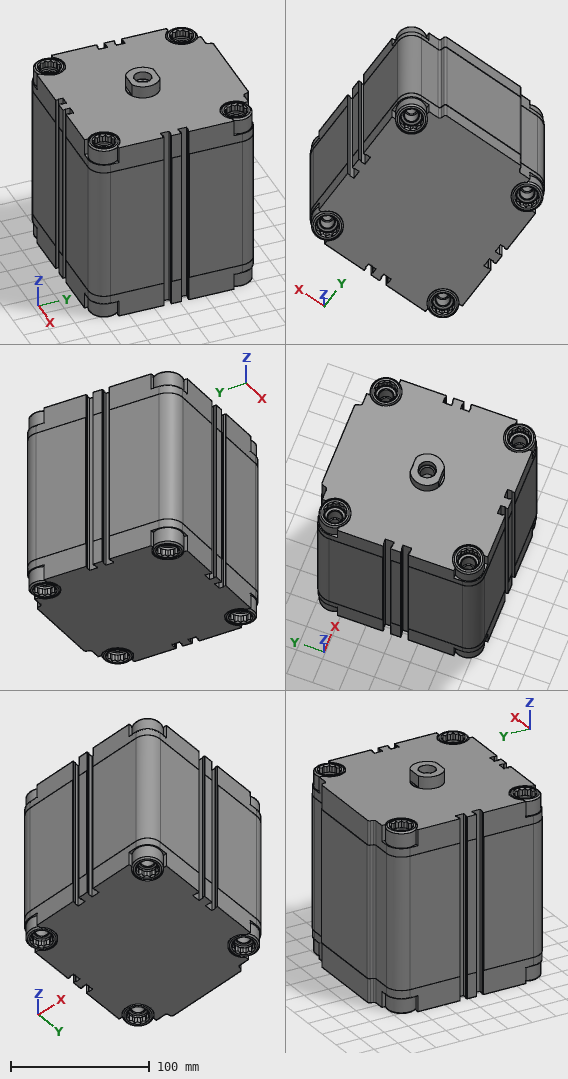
import cadquery as cq
import math

width = 128.0
total_depth = 133.0
housing_height = 146.8
cap_height = 19.5
cap_inset = 0.13
cap_pad_setback = 0.19
corner_radius = 12.5
pad_base_width = 70.7
pad_top_width = 67.9
pad_fillet = 1.9

slot_spacing = 13.6
slot_mouth_width = 5.6
slot_inner_width = 6.5
slot_lip = 2.3
slot_depth = 6.0
slot_edge_chamfer = 0.3

screw_offset = 51.5
boss_diameter = 23.0
boss_chamfer = 1.3
notch_size = 19.1
notch_depth = 12.8
socket_mouth_diameter = 17.5
socket_point_diameter = 16.5
socket_point_count = 12
socket_point_depth = 6.0
socket_floor_diameter = 15.3
socket_depth = 7.8
countersink_diameter = 11.5
clearance_diameter = 10.2
through_diameter = 8.0

rod_diameter = 25.0
rod_stickout = 9.7
rod_flat_width = 21.9
rod_collar = 0.6
rod_counterbore_diameter = 13.0
rod_counterbore_depth = 6.1
rod_countersink_diameter = 12.2
rod_bore_diameter = 10.2
rod_bore_depth = 18.8
drill_point_angle = 118.0

half_width = width / 2
barrel_pad_height = total_depth - width
cap_pad_height = barrel_pad_height - cap_pad_setback
rod_top = housing_height + rod_stickout
rod_bottom = housing_height - cap_height


def profile_block(inset, pad_height, z_bottom, height):
    """Rounded square with a padded rear side, drawn in by inset all round."""
    side = half_width - inset
    square = (
        cq.Workplane("XY")
        .workplane(offset=z_bottom)
        .rect(2 * side, 2 * side)
        .extrude(height)
        .edges("|Z")
        .fillet(corner_radius - inset)
    )
    base_x = pad_base_width / 2 - inset
    top_x = pad_top_width / 2 - inset
    pad_y = side + pad_height
    pad = (
        cq.Workplane("XY")
        .workplane(offset=z_bottom)
        .polyline([(-base_x, 0), (base_x, 0), (base_x, side), (top_x, pad_y), (-top_x, pad_y), (-base_x, side)])
        .close()
        .extrude(height)
    )
    foot_and_rim = cq.selectors.BoxSelector(
        (-base_x - pad_fillet, side - pad_fillet, z_bottom),
        (base_x + pad_fillet, pad_y + pad_fillet, z_bottom + height),
    )
    return square.union(pad).edges("|Z").edges(foot_and_rim).fillet(pad_fillet)


def slot_pair():
    """Two T-slots with bevelled mouths that run the full height of the front side."""
    slots = cq.Workplane("XY")
    edge_half_width = slot_mouth_width / 2 + slot_edge_chamfer
    for x in (-slot_spacing / 2, slot_spacing / 2):
        edge_bevel = (
            cq.Workplane("XY")
            .polyline([(-edge_half_width, 0), (edge_half_width, 0), (0, edge_half_width)])
            .close()
            .extrude(housing_height)
        )
        slots = slots.union(edge_bevel.translate((x, -half_width, 0)))
        mouth = cq.Workplane("XY").box(slot_mouth_width, slot_depth, housing_height, centered=(True, False, False))
        inner = cq.Workplane("XY").box(
            slot_inner_width, slot_depth - slot_lip, housing_height, centered=(True, False, False)
        )
        slots = slots.union(mouth.translate((x, -half_width, 0)))
        slots = slots.union(inner.translate((x, -half_width + slot_lip, 0)))
    return slots


def corner_notch():
    """Material removed around one screw boss, in the +X +Y corner at the top end."""
    boss_radius = boss_diameter / 2
    notch_centre = half_width - notch_size / 2
    notch = cq.Workplane("XY").box(notch_size, notch_size, notch_depth, centered=(True, True, False))
    notch = notch.translate((notch_centre, notch_centre, housing_height - notch_depth))
    boss = cq.Workplane("XY").circle(boss_radius).extrude(notch_depth)
    boss = boss.translate((screw_offset, screw_offset, housing_height - notch_depth))
    groove = (
        cq.Workplane("XZ")
        .polyline([(boss_radius - boss_chamfer, 0), (boss_radius, 0), (boss_radius, -boss_chamfer)])
        .close()
        .revolve(360, (0, 0, 0), (0, 1, 0))
        .translate((screw_offset, screw_offset, housing_height))
    )
    return notch.cut(boss).union(groove)


def twelve_point_prism(depth):
    """Two hexagons turned by half a step, extruded down from z = 0."""
    hexagon = cq.Workplane("XY").polygon(socket_point_count // 2, socket_point_diameter).extrude(-depth)
    return hexagon.union(hexagon.rotate((0, 0, 0), (0, 0, 1), 360 / socket_point_count))


def screw_socket():
    """Twelve-point socket, countersink and bore, in the +X +Y corner at the top end."""
    mouth_radius = socket_mouth_diameter / 2
    floor_radius = socket_floor_diameter / 2
    sink_radius = countersink_diameter / 2
    bore_radius = clearance_diameter / 2
    mouth_depth = mouth_radius - bore_radius
    mouth = cq.Workplane("XY").circle(mouth_radius).workplane(offset=-mouth_depth).circle(bore_radius).loft()
    bore = (
        cq.Workplane("XZ")
        .polyline([
            (0, -socket_point_depth),
            (floor_radius, -socket_point_depth),
            (floor_radius, -socket_depth),
            (sink_radius, -socket_depth),
            (bore_radius, -socket_depth - (sink_radius - bore_radius)),
            (bore_radius, -cap_height),
            (0, -cap_height),
        ])
        .close()
        .revolve(360, (0, 0, 0), (0, 1, 0))
    )
    socket = mouth.union(twelve_point_prism(socket_point_depth)).union(bore)
    return socket.translate((screw_offset, screw_offset, housing_height))


def make_housing():
    barrel = profile_block(0, barrel_pad_height, cap_height, housing_height - 2 * cap_height)
    bottom_cap = profile_block(cap_inset, cap_pad_height, 0, cap_height)
    top_cap = profile_block(cap_inset, cap_pad_height, housing_height - cap_height, cap_height)
    housing = barrel.union(bottom_cap).union(top_cap)

    for angle in (0, 90, -90):
        housing = housing.cut(slot_pair().rotate((0, 0, 0), (0, 0, 1), angle))

    top_cut = corner_notch().union(screw_socket())
    bottom_cut = top_cut.mirror("XY").translate((0, 0, housing_height))
    for angle in (0, 90, 180, 270):
        for end_cut in (top_cut, bottom_cut):
            housing = housing.cut(end_cut.rotate((0, 0, 0), (0, 0, 1), angle))

    housing = housing.cut(
        cq.Workplane("XY")
        .rect(2 * screw_offset, 2 * screw_offset, forConstruction=True)
        .vertices()
        .circle(through_diameter / 2)
        .extrude(housing_height)
    )

    rod_bore = cq.Workplane("XY").workplane(offset=rod_bottom).circle(rod_diameter / 2).extrude(cap_height)
    return housing.cut(rod_bore)


def make_rod():
    rod = cq.Workplane("XY").workplane(offset=rod_bottom).circle(rod_diameter / 2).extrude(rod_top - rod_bottom)

    flat_height = rod_stickout - rod_collar
    flat_cut = cq.Workplane("XY").box(rod_diameter, rod_diameter, flat_height, centered=(True, False, False))
    flat_cut = flat_cut.translate((0, rod_flat_width / 2, rod_top - flat_height))
    rod = rod.cut(flat_cut).cut(flat_cut.mirror("XZ"))

    wide_radius = rod_counterbore_diameter / 2
    sink_radius = rod_countersink_diameter / 2
    bore_radius = rod_bore_diameter / 2
    point_depth = bore_radius / math.tan(math.radians(drill_point_angle / 2))
    hole = (
        cq.Workplane("XZ")
        .polyline([
            (0, 0),
            (wide_radius, 0),
            (wide_radius, -rod_counterbore_depth),
            (sink_radius, -rod_counterbore_depth),
            (bore_radius, -rod_counterbore_depth - (sink_radius - bore_radius)),
            (bore_radius, -rod_bore_depth),
            (0, -rod_bore_depth - point_depth),
        ])
        .close()
        .revolve(360, (0, 0, 0), (0, 1, 0))
        .translate((0, 0, rod_top))
    )
    return rod.cut(hole)


housing = make_housing()
rod = make_rod()
result = cq.Compound.makeCompound([housing.val(), rod.val()])